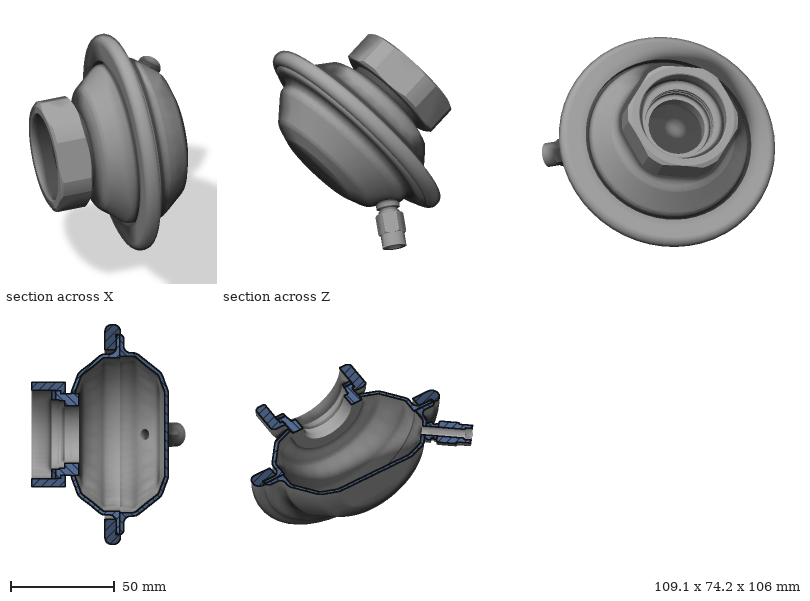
import cadquery as cq
import math


joint_y = 3.5
shell_thickness = 2.0
flange_radius = 48.3
flange_flat_radius = 45.9
flange_edge_height = 0.5
flange_edge_arc = 2.8
flange_root_fillet = 3.1
rear_dome_radius = 39.5
rear_wall_height = 7.8
rear_rim_fillet = 5.0
front_dome_radius = 38.9
front_rim_fillet = 4.0
shoulder_radius = 29.7
shoulder_height = 20.1
crown_radius = 20.6
crown_height = 23.5
shoulder_fillet = 5.0

bead_radius = 106.0 / 2
bead_width = 7.6
bead_fillet = 3.5
bead_bore_radius = 40.7

neck_radius = 19.9
neck_mouth_radius = 16.6
neck_bore_radius = 16.3
neck_end_bore_radius = 13.8
neck_mouth_end_y = -25.8
neck_step_y = -23.2
neck_inner_y = -16.2
neck_collar_length = 2.7

nut_face_y = -39.1
nut_length = 16.4
nut_flats = 50.5
nut_corner_radius = 27.1
nut_end_radius = 25.1
nut_end_chamfer = 1.1
nut_bore_radius = 21.3
nut_mouth_chamfer = 0.4
nut_back_wall = 2.2

gasket_depth = 9.7
gasket_bore_radius = 16.8

valve_tip_x = -52.5
valve_tip_y = 30.6
valve_radius = 5.8
valve_tip_length = 6.4
valve_hex_length = 10.0
valve_hex_flats = 11.8
valve_hex_chamfer = 0.7
valve_bore_radius = 3.5
valve_bore_depth = 3.3
valve_passage_radius = 2.6

boss_rim_radius = 5.1
boss_rim_length = 1.1
boss_groove_radius = 4.5
boss_groove_end = 2.4
boss_taper = 0.5
boss_foot_radius = 5.7
boss_foot_length = 2.1
boss_spigot_radius = 5.0
boss_length = 9.8

nut_back_y = nut_face_y + nut_length
gasket_y = nut_face_y + gasket_depth
collar_back_y = nut_back_y - nut_back_wall
collar_front_y = collar_back_y - neck_collar_length
margin = 0.1

valve_end = valve_tip_length + valve_hex_length
boss_end = valve_end + boss_length
cone_rise = (shoulder_height - rear_wall_height) / (rear_dome_radius - shoulder_radius)
front_wall_height = shoulder_height - cone_rise * (front_dome_radius - shoulder_radius)
valve_tilt = math.degrees(math.atan(1 / cone_rise))


def turned(points):
    """Revolve a (radius, y) outline about the Y axis."""
    return cq.Workplane("XY").polyline(points).close().revolve(360, (0, 0), (0, 1))


def cylinder(radius, start_y, end_y):
    return turned([(0, start_y), (radius, start_y), (radius, end_y), (0, end_y)])


def tube(outer_radius, inner_radius, start_y, end_y):
    return cylinder(outer_radius, start_y, end_y).cut(cylinder(inner_radius, start_y, end_y))


def corner_diameter(flats):
    """Distance across the corners of a hexagon from the distance across its flats."""
    return flats / math.cos(math.pi / 6)


def hexagon(flats, start_y, end_y):
    """Hexagonal bar along Y with two of its flats facing +Z and -Z."""
    return (
        cq.Workplane("XZ", origin=(0, start_y, 0))
        .polygon(6, corner_diameter(flats))
        .extrude(start_y - end_y)
    )


def circles_between(low_y, high_y):
    """Selector for the edges whose centres lie between two heights."""
    return cq.selectors.BoxSelector(
        (-bead_radius, low_y, -bead_radius), (bead_radius, high_y, bead_radius)
    )


def make_dome(radius, wall_height, rim_fillet):
    """Solid dome standing on Y = 0: short wall, cone, shallow cone and flat crown."""
    body = turned(
        [
            (0, 0),
            (radius, 0),
            (radius, wall_height),
            (shoulder_radius, shoulder_height),
            (crown_radius, crown_height),
            (0, crown_height),
        ]
    )
    rim = circles_between(wall_height / 2, (wall_height + shoulder_height) / 2)
    body = body.edges("%CIRCLE").edges(rim).fillet(rim_fillet)
    shoulder_and_crown = circles_between(shoulder_height - margin, crown_height + margin)
    return body.edges("%CIRCLE").edges(shoulder_and_crown).fillet(shoulder_fillet)


def make_flange(inner_radius):
    """Flat flange whose top rounds down to a low outer edge."""
    outline = (
        cq.Workplane("XY")
        .moveTo(inner_radius, 0)
        .lineTo(flange_radius, 0)
        .lineTo(flange_radius, flange_edge_height)
        .radiusArc((flange_flat_radius, shell_thickness), -flange_edge_arc)
        .lineTo(inner_radius, shell_thickness)
        .close()
    )
    return outline.revolve(360, (0, 0), (0, 1))


def make_shell_blank(dome, dome_radius):
    """Hollow dome with its flange resting on Y = 0."""
    hollow_dome = dome.faces("<Y").shell(-shell_thickness)
    body = hollow_dome.union(make_flange(dome_radius - shell_thickness / 2))
    flange_top = circles_between(shell_thickness - margin, shell_thickness + margin)
    root = body.edges("%CIRCLE").edges(flange_top).edges(cq.selectors.RadiusNthSelector(0))
    return root.fillet(flange_root_fillet)


def rear_of_joint(body):
    return body.translate((0, joint_y, 0))


def front_of_joint(body):
    return body.mirror("XZ").translate((0, joint_y, 0))


def on_valve_axis(body):
    """Carry a body from the Y axis to the valve axis, with its Y = 0 end at the valve tip."""
    turned_body = body.rotate((0, 0, 0), (0, 0, 1), -(90 + valve_tilt))
    return turned_body.translate((valve_tip_x, valve_tip_y, 0))


def make_rear_dome():
    return make_dome(rear_dome_radius, rear_wall_height, rear_rim_fillet)


def make_front_shell():
    dome = make_dome(front_dome_radius, front_wall_height, front_rim_fillet)
    body = front_of_joint(make_shell_blank(dome, front_dome_radius))
    return body.cut(cylinder(neck_radius, collar_front_y, neck_inner_y))


def make_rear_shell():
    body = rear_of_joint(make_shell_blank(make_rear_dome(), rear_dome_radius))
    gas_hole = on_valve_axis(cylinder(valve_passage_radius, 0, boss_end))
    return body.cut(gas_hole)


def make_bead_ring(enclosed_shell):
    """Ring with a seat for both flanges, its bore relieved around the front shell."""
    ring = tube(bead_radius, bead_bore_radius, -bead_width / 2, bead_width / 2)
    ring = ring.edges("%CIRCLE").edges(cq.selectors.RadiusNthSelector(-1)).fillet(bead_fillet)
    flange_seat = cylinder(flange_radius, joint_y - shell_thickness, bead_width)
    return ring.cut(flange_seat).cut(enclosed_shell)


def make_neck():
    return turned(
        [
            (neck_mouth_radius, collar_front_y),
            (nut_bore_radius, collar_front_y),
            (nut_bore_radius, collar_back_y),
            (neck_radius, collar_back_y),
            (neck_radius, neck_inner_y),
            (neck_end_bore_radius, neck_inner_y),
            (neck_end_bore_radius, neck_step_y),
            (neck_bore_radius, neck_step_y),
            (neck_bore_radius, neck_mouth_end_y),
            (neck_mouth_radius, neck_mouth_end_y),
        ]
    )


def make_union_nut():
    turned_blank = turned(
        [
            (0, nut_face_y),
            (nut_end_radius, nut_face_y),
            (nut_corner_radius, nut_face_y + nut_end_chamfer),
            (nut_corner_radius, nut_back_y - nut_end_chamfer),
            (nut_end_radius, nut_back_y),
            (0, nut_back_y),
        ]
    )
    bore = turned(
        [
            (0, nut_face_y),
            (nut_bore_radius + nut_mouth_chamfer, nut_face_y),
            (nut_bore_radius, nut_face_y + nut_mouth_chamfer),
            (nut_bore_radius, collar_back_y),
            (neck_radius, collar_back_y),
            (neck_radius, nut_back_y),
            (0, nut_back_y),
        ]
    )
    return hexagon(nut_flats, nut_face_y, nut_back_y).intersect(turned_blank).cut(bore)


def make_gasket():
    return tube(nut_bore_radius, gasket_bore_radius, gasket_y, collar_front_y)


def make_gas_valve():
    """Round tip and hexagon in one piece, with a stepped bore."""
    corner_radius = corner_diameter(valve_hex_flats) / 2
    hex_blank = cylinder(corner_radius, valve_tip_length, valve_end)
    hex_blank = hex_blank.edges("%CIRCLE").chamfer(valve_hex_chamfer)
    body = hexagon(valve_hex_flats, valve_tip_length, valve_end).intersect(hex_blank)
    body = body.union(cylinder(valve_radius, 0, valve_tip_length))
    body = body.cut(cylinder(valve_bore_radius, 0, valve_bore_depth))
    return on_valve_axis(body.cut(cylinder(valve_passage_radius, 0, valve_end)))


def make_gas_boss():
    """Grooved boss with a round foot and a spigot shaped to the cone of the rear dome."""
    foot_start = valve_end + boss_groove_end + boss_taper
    foot_end = foot_start + boss_foot_length
    body = turned(
        [
            (valve_passage_radius, valve_end),
            (boss_rim_radius, valve_end),
            (boss_rim_radius, valve_end + boss_rim_length),
            (boss_groove_radius, valve_end + boss_rim_length + boss_taper),
            (boss_groove_radius, valve_end + boss_groove_end),
            (boss_foot_radius, foot_start),
            (boss_foot_radius, foot_end),
            (boss_spigot_radius, foot_end),
            (boss_spigot_radius, boss_end),
            (valve_passage_radius, boss_end),
        ]
    )
    return on_valve_axis(body).cut(rear_of_joint(make_rear_dome()))


front_shell = make_front_shell()
rear_shell = make_rear_shell()
bead_ring = make_bead_ring(front_shell)
neck = make_neck()
union_nut = make_union_nut()
gasket = make_gasket()
gas_valve = make_gas_valve()
gas_boss = make_gas_boss()

result = cq.Compound.makeCompound(
    [
        front_shell.val(),
        rear_shell.val(),
        bead_ring.val(),
        neck.val(),
        union_nut.val(),
        gasket.val(),
        gas_valve.val(),
        gas_boss.val(),
    ]
)